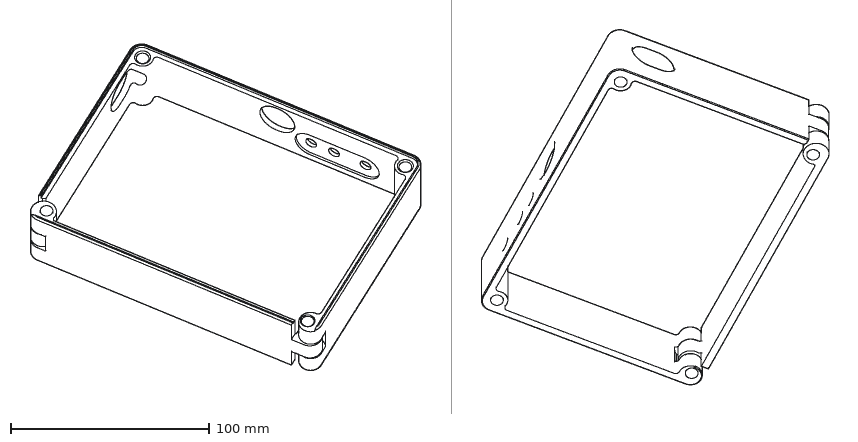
import cadquery as cq
import math

LENGTH = 163.8
WIDTH = 122.2
HEIGHT = 35.5

WALL = 4.0
CORNER_RADIUS = 6.5
X_END = LENGTH / 2
Y_END = WIDTH / 2
X_INNER = X_END - WALL
Y_INNER = Y_END - WALL
BOTTOM_CHAMFER = 0.5

RIDGE_HEIGHT = 1.6
RIDGE_WIDTH = 1.6
RIDGE_CHAMFER = 1.0
FLOOR_Z = HEIGHT - RIDGE_HEIGHT

BOSS_RADIUS = 5.49
BOSS_INSET = 7.5
BOSS_BLEND = 2.0
HOLE_DIAMETER = 6.4
HOLE_CHAMFER = 0.8
X_BOSS = X_END - BOSS_INSET
Y_BOSS = Y_END - BOSS_INSET

DOOR_KNUCKLE_RADIUS = 6.5
X_DOOR_KNUCKLE = X_END - DOOR_KNUCKLE_RADIUS
Y_DOOR_KNUCKLE = -Y_END + DOOR_KNUCKLE_RADIUS
DOOR_BLEND = 1.1

FRAME_KNUCKLE_RADIUS = 6.0
FRAME_KNUCKLE_SETBACK = 0.5
X_FRAME_KNUCKLE = X_END - FRAME_KNUCKLE_RADIUS
Y_FRAME_KNUCKLE = -Y_END + FRAME_KNUCKLE_SETBACK + FRAME_KNUCKLE_RADIUS
FRAME_HOLE_CHAMFER = 0.5
HINGE_HOLE_INSET = 7.7
X_HINGE_HOLE = X_END - HINGE_HOLE_INSET
Y_DOOR_HOLE = -Y_END + HINGE_HOLE_INSET

HINGE_MID_Z = FLOOR_Z / 2
TAB_HEIGHT = 10.3
SLOT_HEIGHT = 12.5
SLOT_END = 11.0
WALL_END = 13.6
DOOR_SWING_RADIUS = 8.2
FRAME_SWING_RADIUS = 6.9

OPENING_RADIUS = 9.3
OPENING_RIM = 2.0
OPENING_Z = 22.8
OPENING_DEPTH = 14.7
SIDE_OPENING_Y = 37.8
SIDE_OPENING_STRAIGHT = 5.5
BACK_OPENING_X = 0.0
BACK_OPENING_STRAIGHT = 1.0

POCKET_RADIUS = 8.4
POCKET_DEPTH = 1.3
POCKET_Z = 12.5
CONNECTOR_X = (18.5, 31.5, 49.3)
CONNECTOR_DIAMETER = 6.0
CONNECTOR_RIM = 1.3

MARGIN = 16.4
SKIN = 0.2


def cylinder(x, y, radius, z_low=0.0, z_high=HEIGHT):
    return cq.Workplane("XY", origin=(x, y, z_low)).circle(radius).extrude(z_high - z_low)


def block(x_low, x_high, y_low, y_high, z_low, z_high):
    size = (x_high - x_low, y_high - y_low, z_high - z_low)
    return cq.Workplane("XY", origin=(x_low, y_low, z_low)).box(*size, centered=False)


def countersunk_hole(x, y, diameter, chamfer):
    """Vertical through hole with a chamfered mouth at the top face."""
    radius = diameter / 2
    profile = [
        (0, 0),
        (radius, 0),
        (radius, FLOOR_Z - chamfer),
        (radius + chamfer, FLOOR_Z),
        (0, FLOOR_Z),
    ]
    return cq.Workplane("XZ", origin=(x, y, 0)).polyline(profile).close().revolve(360, (0, 0), (0, 1))


def mid_band(height):
    """Lower and upper z of a band centred on the hinge's middle level."""
    return HINGE_MID_Z - height / 2, HINGE_MID_Z + height / 2


def outside_band(x_low, x_high, y_low, y_high, band):
    """Two blocks that fill the height below and above a band."""
    below = block(x_low, x_high, y_low, y_high, -MARGIN, band[0])
    return below.union(block(x_low, x_high, y_low, y_high, band[1], HEIGHT + MARGIN))


def frame_blank():
    """Filled outline, with its outer top and bottom edges chamfered."""
    r = FRAME_KNUCKLE_RADIUS
    c = CORNER_RADIUS
    bend = c * (1 - math.sqrt(0.5))
    front = Y_FRAME_KNUCKLE - r
    outline = (
        cq.Workplane("XY")
        .moveTo(-X_END, Y_FRAME_KNUCKLE)
        .threePointArc((-X_FRAME_KNUCKLE, front), (-X_FRAME_KNUCKLE + r, Y_FRAME_KNUCKLE))
        .lineTo(X_FRAME_KNUCKLE - r, Y_FRAME_KNUCKLE)
        .threePointArc((X_FRAME_KNUCKLE, front), (X_END, Y_FRAME_KNUCKLE))
        .lineTo(X_END, Y_END - c)
        .threePointArc((X_END - bend, Y_END - bend), (X_END - c, Y_END))
        .lineTo(-X_END + c, Y_END)
        .threePointArc((-X_END + bend, Y_END - bend), (-X_END, Y_END - c))
        .close()
    )
    blank = outline.extrude(HEIGHT)
    return blank.faces(">Z").chamfer(RIDGE_CHAMFER).faces("<Z").chamfer(BOTTOM_CHAMFER)


def frame_cavity():
    """Space between the walls, leaving the back bosses and the knuckles."""
    y_front = -Y_END - MARGIN
    cavity = block(-X_INNER, X_INNER, y_front, Y_INNER, 0, HEIGHT)
    for side in (-1, 1):
        cavity = cavity.cut(cylinder(side * X_BOSS, Y_BOSS, BOSS_RADIUS))
        cavity = cavity.cut(cylinder(side * X_FRAME_KNUCKLE, Y_FRAME_KNUCKLE, FRAME_KNUCKLE_RADIUS))
    main_space = cavity.solids(cq.selectors.NearestToPointSelector((0, 0, HEIGHT / 2)))
    junctions = cq.selectors.BoxSelector(
        (-X_END, Y_FRAME_KNUCKLE, -MARGIN), (X_END, Y_END, HEIGHT + MARGIN)
    )
    return main_space.edges("|Z").edges(junctions).fillet(BOSS_BLEND)


def frame_ridge_space():
    """Space above the top face, inside the ridge and open to the front."""
    x = X_END - RIDGE_WIDTH
    space = block(-x, x, -Y_END - MARGIN, Y_END - RIDGE_WIDTH, FLOOR_Z, HEIGHT)
    return space.edges("|Z and >Y").fillet(CORNER_RADIUS - RIDGE_WIDTH)


def add_side_opening(frame):
    """Obround opening through the left wall, rounded at the outer face."""
    y, z = SIDE_OPENING_Y, OPENING_Z
    reach_y = SIDE_OPENING_STRAIGHT + OPENING_RADIUS
    reach_z = OPENING_RADIUS + SKIN
    opening = (
        cq.Workplane("YZ", origin=(-X_END, y, z))
        .slot2D(SIDE_OPENING_STRAIGHT + 2 * OPENING_RADIUS, 2 * OPENING_RADIUS)
        .extrude(OPENING_DEPTH)
    )
    rim = cq.selectors.BoxSelector(
        (-X_END - SKIN, y - reach_y, z - reach_z), (-X_END + SKIN, y + reach_y, z + reach_z)
    )
    return frame.cut(opening).edges(rim).fillet(OPENING_RIM)


def cut_back_wall(frame, x, z, radius, rim_radius, straight=0.0):
    """Round or obround hole through the back wall, rounded at the outer face."""
    sketch = cq.Workplane("XZ", origin=(x, Y_END, z))
    if straight > 0:
        sketch = sketch.slot2D(straight + 2 * radius, 2 * radius)
    else:
        sketch = sketch.circle(radius)
    reach = radius + SKIN
    rim = cq.selectors.BoxSelector(
        (x - reach, Y_END - SKIN, z - reach), (x + reach, Y_END + SKIN, z + reach)
    )
    return frame.cut(sketch.extrude(OPENING_DEPTH)).edges(rim).fillet(rim_radius)


def add_connector_pocket(frame):
    """Shallow slot in the inner back face, with three through holes."""
    first, last = CONNECTOR_X[0], CONNECTOR_X[-1]
    pocket = (
        cq.Workplane("XZ", origin=((first + last) / 2, Y_INNER + POCKET_DEPTH, POCKET_Z))
        .slot2D(last - first + 2 * POCKET_RADIUS, 2 * POCKET_RADIUS)
        .extrude(MARGIN)
    )
    frame = frame.cut(pocket)
    for x in CONNECTOR_X:
        frame = cut_back_wall(frame, x, POCKET_Z, CONNECTOR_DIAMETER / 2, CONNECTOR_RIM)
    return frame


def make_frame():
    frame = frame_blank().cut(frame_cavity()).cut(frame_ridge_space())
    tab = mid_band(TAB_HEIGHT)
    frame = frame.cut(
        outside_band(-X_END - 1.6, -X_END + MARGIN, -Y_END - 1.6, -Y_END + WALL_END, tab)
    )
    for z_low, z_high in ((-MARGIN, tab[0]), (tab[1], HEIGHT + MARGIN)):
        frame = frame.cut(cylinder(-X_DOOR_KNUCKLE, Y_DOOR_KNUCKLE, DOOR_SWING_RADIUS, z_low, z_high))
    slot = mid_band(SLOT_HEIGHT)
    frame = frame.cut(cylinder(X_DOOR_KNUCKLE, Y_DOOR_KNUCKLE, DOOR_SWING_RADIUS, *slot))
    frame = frame.cut(block(X_INNER, X_END + 1.6, -Y_END - 1.6, -Y_END + SLOT_END, *slot))
    for side in (-1, 1):
        frame = frame.cut(countersunk_hole(side * X_BOSS, Y_BOSS, HOLE_DIAMETER, HOLE_CHAMFER))
        frame = frame.cut(countersunk_hole(
            side * X_HINGE_HOLE, Y_FRAME_KNUCKLE, HOLE_DIAMETER, FRAME_HOLE_CHAMFER))
    frame = add_side_opening(frame)
    frame = cut_back_wall(
        frame, BACK_OPENING_X, OPENING_Z, OPENING_RADIUS, OPENING_RIM, BACK_OPENING_STRAIGHT
    )
    return add_connector_pocket(frame)


def door_blank():
    """Front wall with a full-height knuckle at each end."""
    r = DOOR_KNUCKLE_RADIUS
    bar = (
        cq.Workplane("XY")
        .moveTo(-X_DOOR_KNUCKLE, -Y_END)
        .lineTo(X_DOOR_KNUCKLE, -Y_END)
        .threePointArc((X_END, Y_DOOR_KNUCKLE), (X_DOOR_KNUCKLE, Y_DOOR_KNUCKLE + r))
        .lineTo(-X_DOOR_KNUCKLE, Y_DOOR_KNUCKLE + r)
        .threePointArc((-X_END, Y_DOOR_KNUCKLE), (-X_DOOR_KNUCKLE, -Y_END))
        .close()
        .extrude(HEIGHT)
        .faces(">Z")
        .chamfer(RIDGE_CHAMFER)
    )
    inside = block(-X_DOOR_KNUCKLE, X_DOOR_KNUCKLE, -Y_INNER, -Y_END + MARGIN, 0, HEIGHT)
    for side in (-1, 1):
        inside = inside.cut(cylinder(side * X_DOOR_KNUCKLE, Y_DOOR_KNUCKLE, r))
    junctions = cq.selectors.BoxSelector(
        (-X_END, -Y_INNER - SKIN, -MARGIN), (X_END, -Y_INNER + SKIN, HEIGHT + MARGIN)
    )
    inside = inside.solids(cq.selectors.NearestToPointSelector((0, -Y_INNER, HEIGHT / 2)))
    inside = inside.edges("|Z").edges(junctions).fillet(DOOR_BLEND)
    above = block(-X_END, X_END, -Y_END + RIDGE_WIDTH, -Y_END + MARGIN, FLOOR_Z, HEIGHT)
    return bar.cut(inside).cut(above)


def make_door():
    door = door_blank()
    tab = mid_band(TAB_HEIGHT)
    door = door.cut(
        outside_band(X_END - WALL_END, X_END + 1.6, -Y_END - 1.6, -Y_END + MARGIN, tab)
    )
    slot = mid_band(SLOT_HEIGHT)
    door = door.cut(cylinder(-X_FRAME_KNUCKLE, Y_FRAME_KNUCKLE, FRAME_SWING_RADIUS, *slot))
    door = door.cut(block(-X_END - 1.6, -X_END + SLOT_END, -Y_END - 1.6, -Y_INNER, *slot))
    for side in (-1, 1):
        door = door.cut(cylinder(side * X_HINGE_HOLE, Y_DOOR_HOLE, HOLE_DIAMETER / 2))
    return door


frame = make_frame()
door = make_door()
result = cq.Compound.makeCompound([frame.solids().val(), door.solids().val()])